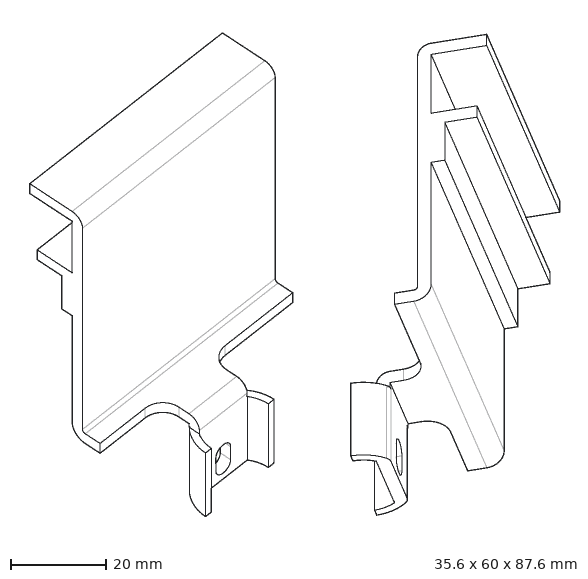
import cadquery as cq
import math

overall_length = 35.65
width = 60.0
height = 87.6
sheet = 3.0

wall_back = 15.1
wall_front = wall_back - sheet
top_radius = sheet
shelf_front = 2.1
shelf_top = height - 18.5
pad_front = wall_front - sheet
pad_bottom = height - 31.45
flange_bottom = 20.2
flange_top = flange_bottom + sheet
bend_inner_radius = 0.8
bend_outer_radius = bend_inner_radius + sheet
flange_end = 20.1

tab_center_y = -3.5
neck_width = 14.9
neck_fillet = 5.0
tab_back = 30.9
tab_front = tab_back - sheet
drop_radius = sheet

clip_height = 19.2
clip_half_width = 10.7
clip_flat_half_width = 6.6
clip_corner_depth = 0.6
clip_corner_half_width = 8.0
wing_thickness = 1.8

slot_width = 4.55
slot_length = 8.5
slot_center_z = 6.05


def make_profile():
    """Wall with top lip, shelf, pad and bent lower flange, extruded along Y."""
    outline = (
        cq.Workplane("XZ")
        .moveTo(0, height)
        .lineTo(wall_back - top_radius, height)
        .radiusArc((wall_back, height - top_radius), top_radius)
        .lineTo(wall_back, flange_top + bend_inner_radius)
        .radiusArc((wall_back + bend_inner_radius, flange_top), -bend_inner_radius)
        .lineTo(flange_end, flange_top)
        .lineTo(flange_end, flange_bottom)
        .lineTo(wall_front + bend_outer_radius, flange_bottom)
        .radiusArc((wall_front, flange_bottom + bend_outer_radius), bend_outer_radius)
        .lineTo(wall_front, pad_bottom)
        .lineTo(pad_front, pad_bottom)
        .lineTo(pad_front, shelf_top - sheet)
        .lineTo(shelf_front, shelf_top - sheet)
        .lineTo(shelf_front, shelf_top)
        .lineTo(wall_front, shelf_top)
        .lineTo(wall_front, height - sheet)
        .lineTo(0, height - sheet)
        .close()
    )
    return outline.extrude(width / 2, both=True)


def make_neck():
    """Horizontal neck with a flared root, turning down into the clip."""
    half = neck_width / 2
    root_half = half + neck_fillet
    fillet_end = flange_end + neck_fillet
    flare = (
        cq.Workplane("XY", origin=(0, tab_center_y, flange_bottom))
        .moveTo(flange_end, -root_half)
        .radiusArc((fillet_end, -half), neck_fillet)
        .lineTo(fillet_end, half)
        .radiusArc((flange_end, root_half), neck_fillet)
        .close()
        .extrude(sheet)
    )
    drop = (
        cq.Workplane("XZ", origin=(0, tab_center_y, 0))
        .moveTo(fillet_end, flange_top)
        .lineTo(tab_back - drop_radius, flange_top)
        .radiusArc((tab_back, flange_top - drop_radius), drop_radius)
        .lineTo(tab_back, clip_height)
        .lineTo(tab_front, clip_height)
        .lineTo(tab_front, flange_bottom)
        .lineTo(fillet_end, flange_bottom)
        .close()
        .extrude(half, both=True)
    )
    return flare.union(drop)


def make_clip():
    """Flat back with two curved wings whose tips run parallel to X."""
    corner_x = tab_front + clip_corner_depth
    corner_rise = clip_corner_half_width - clip_flat_half_width
    corner_radius = (clip_corner_depth**2 + corner_rise**2) / (2 * clip_corner_depth)
    wing_run = overall_length - corner_x
    wing_rise = clip_half_width - clip_corner_half_width
    outer_radius = (wing_run**2 + wing_rise**2) / (2 * wing_rise)
    inner_radius = outer_radius - wing_thickness
    arc_center_y = clip_half_width - outer_radius
    inner_run = overall_length - tab_back
    inner_corner_y = arc_center_y + math.sqrt(inner_radius**2 - inner_run**2)
    tip_inner_y = clip_half_width - wing_thickness

    clip = (
        cq.Workplane("XY", origin=(0, tab_center_y, 0))
        .moveTo(tab_front, -clip_flat_half_width)
        .lineTo(tab_front, clip_flat_half_width)
        .radiusArc((corner_x, clip_corner_half_width), corner_radius)
        .radiusArc((overall_length, clip_half_width), outer_radius)
        .lineTo(overall_length, tip_inner_y)
        .radiusArc((tab_back, inner_corner_y), -inner_radius)
        .lineTo(tab_back, -inner_corner_y)
        .radiusArc((overall_length, -tip_inner_y), -inner_radius)
        .lineTo(overall_length, -clip_half_width)
        .radiusArc((corner_x, -clip_corner_half_width), outer_radius)
        .radiusArc((tab_front, -clip_flat_half_width), corner_radius)
        .close()
        .extrude(clip_height)
    )
    slot = (
        cq.Workplane("YZ", origin=(tab_front, tab_center_y, slot_center_z))
        .slot2D(slot_length, slot_width, 90)
        .extrude(sheet)
    )
    return clip.cut(slot)


result = make_profile().union(make_neck()).union(make_clip())